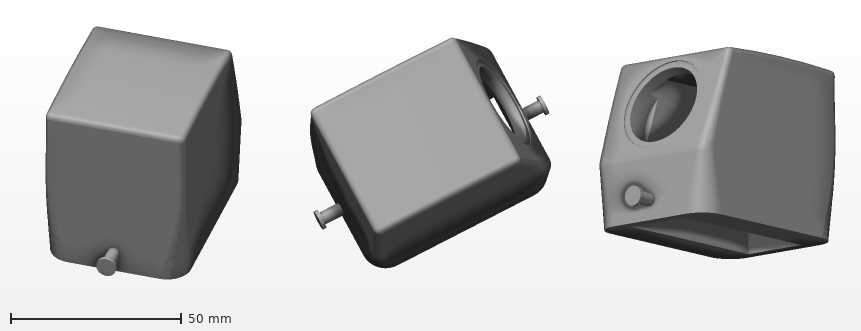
import cadquery as cq
import math

width = 43.0
height = 51.9
front_y = -30.0
front_top_y = -29.4
back_y = 30.0
bend_y = 29.8
bend_z = 18.75
slope_start_y = 29.25
slope_start_z = 21.0
slope_top_y = 18.2
roof_drop = 1.8
crown_y = -5.25
roof_edge_radius = 1.65

mid_bend_z = (bend_z + slope_start_z) / 2
front_corners = ((0, 7.35), (9.0, 5.1), (19.5, 2.7), (36.0, 1.8), (height, 1.5))
back_base_corners = ((0, 7.35), (bend_z, 3.6))
back_bend_corners = ((bend_z, 3.6), (mid_bend_z, 3.4), (slope_start_z, 3.15))
back_slope_corners = ((slope_start_z, 3.15), (36.0, 1.95), (height, 1.65))

cavity_width = 20.25
wall = 3.75

entry_y = 24.0
entry_diameter = 24.9
seat_diameter = 29.0
seat_depth = 0.4
entry_depth = 7.5

pin_span = 75.0
pin_z = 6.15
pin_diameter = 3.9
head_diameter = 6.0
head_thickness = 1.1
pin_embed = 1.5

slope_run = slope_start_y - slope_top_y
slope_rise = height - slope_start_z
slope_length = math.hypot(slope_run, slope_rise)


def front_at(z):
    return front_y + (front_top_y - front_y) * z / height


def back_at(z):
    if z <= bend_z:
        return back_y + (bend_y - back_y) * z / bend_z
    if z < slope_start_z:
        share = (z - bend_z) / (slope_start_z - bend_z)
        return bend_y - (bend_y - slope_start_y) * share**2
    return slope_start_y - slope_run * (z - slope_start_z) / slope_rise


def half_section(z, face_y, radius, side):
    """Horizontal outline from y = 0 to face_y, rounded at its two outer corners.

    side is -1 for the front half and +1 for the back half.
    """
    half = width / 2
    trim = radius * (1 - math.sqrt(0.5))
    arc_start_y = face_y - side * radius
    arc_middle_y = face_y - side * trim
    outline = (
        cq.Workplane("XY", origin=(0, 0, z))
        .moveTo(-half, 0)
        .lineTo(half, 0)
        .lineTo(half, arc_start_y)
        .threePointArc((half - trim, arc_middle_y), (half - radius, face_y))
        .lineTo(-half + radius, face_y)
        .threePointArc((-half + trim, arc_middle_y), (-half, arc_start_y))
        .close()
    )
    return outline.wires().val()


def loft_half(corners, face_at, side):
    sections = [half_section(z, face_at(z), radius, side) for z, radius in corners]
    return cq.Workplane(cq.Solid.makeLoft(sections, len(sections) == 2))


def make_body():
    body = loft_half(front_corners, front_at, -1)
    for corners in (back_base_corners, back_bend_corners, back_slope_corners):
        body = body.union(loft_half(corners, back_at, 1))
    body = body.clean()
    roof_front_y = 2 * crown_y - back_y
    eave_z = height - roof_drop
    crown = (
        cq.Workplane("YZ")
        .moveTo(roof_front_y, 0)
        .lineTo(roof_front_y, eave_z)
        .threePointArc((crown_y, height), (back_y, eave_z))
        .lineTo(back_y, 0)
        .close()
        .extrude(width, both=True)
    )
    body = body.intersect(crown)
    return body.faces(">Z").edges().fillet(roof_edge_radius)


def make_cavity():
    slope_shift = wall * slope_length / slope_rise
    inner_back = bend_y - wall
    inner_bend_z = slope_start_z + (slope_start_y - slope_shift - inner_back) * slope_rise / slope_run
    roof = height - wall
    return (
        cq.Workplane("YZ")
        .moveTo(front_y + wall, 0)
        .lineTo(front_top_y + wall, roof - roof_drop)
        .lineTo(back_at(roof) - slope_shift, roof - roof_drop)
        .lineTo(inner_back, inner_bend_z)
        .lineTo(inner_back, 0)
        .close()
        .extrude(cavity_width / 2, both=True)
    )


def make_entry():
    entry_z = slope_start_z + (slope_start_y - entry_y) * slope_rise / slope_run
    outward = (0, slope_rise / slope_length, slope_run / slope_length)
    face = cq.Workplane(cq.Plane((0, entry_y, entry_z), (1, 0, 0), outward))
    hole = face.circle(entry_diameter / 2).extrude(-entry_depth)
    seat = face.circle(seat_diameter / 2).extrude(-seat_depth)
    clearance = face.circle(seat_diameter / 2).extrude(seat_depth)
    return hole.union(seat).union(clearance)


def make_pin(side, wall_y):
    """Headed pin on the face at wall_y; side is -1 for front and +1 for back."""
    root = abs(wall_y) - pin_embed
    tip = pin_span / 2
    shank = cq.Solid.makeCylinder(
        pin_diameter / 2, tip - root, cq.Vector(0, side * root, pin_z), cq.Vector(0, side, 0)
    )
    head = cq.Solid.makeCylinder(
        head_diameter / 2,
        head_thickness,
        cq.Vector(0, side * (tip - head_thickness), pin_z),
        cq.Vector(0, side, 0),
    )
    return cq.Workplane(shank).union(cq.Workplane(head))


result = make_body().cut(make_cavity()).cut(make_entry())
for side, wall_y in ((-1, front_y), (1, back_y)):
    result = result.union(make_pin(side, wall_y))